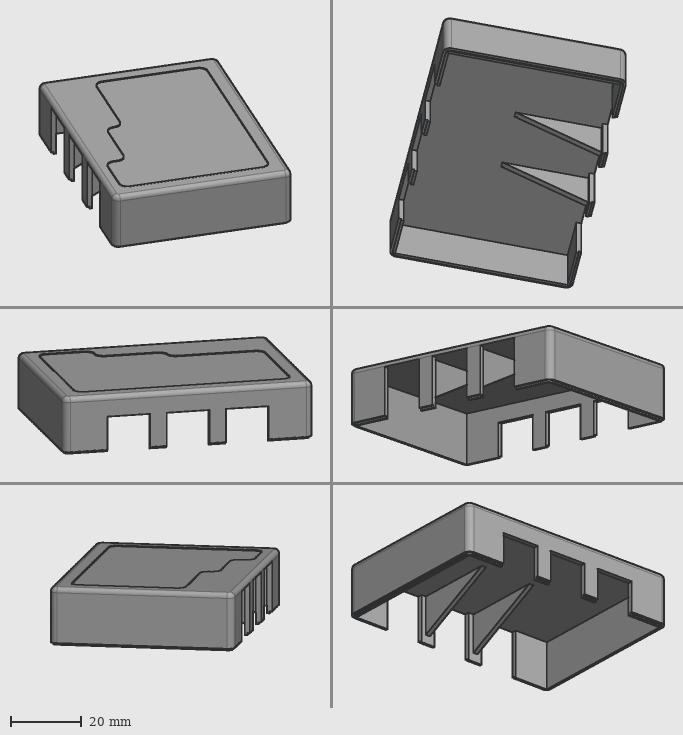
import cadquery as cq
import math

LENGTH = 73.0
WIDTH = 53.0
HEIGHT = 16.7

WALL = 1.5
CORNER_RADIUS = 2.0
TOP_FILLET = 1.5
CEILING_Z = 15.0

LIP_INSET = WALL / 2
LIP_HEIGHT = 0.6
LIP_RADIUS = CORNER_RADIUS - LIP_INSET

WINDOW_WIDTH = 12.5
WINDOW_PITCH = 17.3
WINDOW_COUNT = 3
FRONT_WINDOW_TOP = CEILING_Z
BACK_WINDOW_TOP = 10.3

RIB_THICKNESS = 1.5
RIB_SPACING = 17.5
RIB_FOOT_Z = 2.8
RIB_SLOPE = 0.49

RECESS_DEPTH = 0.3
RECESS_RADIUS = 2.5
RECESS_LEFT = -31.5
RECESS_RIGHT = 31.5
RECESS_BACK = 21.5
RECESS_FRONT = -22.5
UPPER_STEP_X = -4.2
UPPER_STEP_Y = -11.3
LOWER_STEP_X = 15.6
LOWER_STEP_Y = UPPER_STEP_Y - 2 * RECESS_RADIUS

TINY = 1e-6


def rounded_outline(corners, radius):
    """Closed wire through axis-parallel corners, each rounded with the same radius."""
    edges = []
    previous_end = None
    first_start = None
    for index, corner in enumerate(corners):
        here = cq.Vector(*corner)
        to_last = (cq.Vector(*corners[index - 1]) - here).normalized()
        to_next = (cq.Vector(*corners[(index + 1) % len(corners)]) - here).normalized()
        start = here + to_last * radius
        end = here + to_next * radius
        middle = here + (to_last + to_next) * (radius * (1 - math.sqrt(0.5)))
        if previous_end is None:
            first_start = start
        elif (start - previous_end).Length > TINY:
            edges.append(cq.Edge.makeLine(previous_end, start))
        edges.append(cq.Edge.makeThreePointArc(start, middle, end))
        previous_end = end
    edges.append(cq.Edge.makeLine(previous_end, first_start))
    return cq.Wire.assembleEdges(edges)


def outer_body():
    """Rounded block standing on its smaller lip."""
    lip = (
        cq.Workplane("XY")
        .rect(LENGTH - 2 * LIP_INSET, WIDTH - 2 * LIP_INSET)
        .extrude(LIP_HEIGHT)
        .edges("|Z")
        .fillet(LIP_RADIUS)
    )
    block = (
        cq.Workplane("XY")
        .workplane(offset=LIP_HEIGHT)
        .rect(LENGTH, WIDTH)
        .extrude(HEIGHT - LIP_HEIGHT)
        .edges("|Z")
        .fillet(CORNER_RADIUS)
        .faces(">Z")
        .edges()
        .fillet(TOP_FILLET)
    )
    return block.union(lip)


def cavity():
    """Inner space, open at the bottom."""
    return cq.Workplane("XY").rect(LENGTH - 2 * WALL, WIDTH - 2 * WALL).extrude(CEILING_Z)


def window_row(wall_y, top):
    """Row of windows through a long wall, open at the bottom."""
    return (
        cq.Workplane("XY")
        .center(0, wall_y)
        .rarray(WINDOW_PITCH, 1, WINDOW_COUNT, 1)
        .rect(WINDOW_WIDTH, 2 * WALL)
        .extrude(top)
    )


def rib(center_x):
    """Rib rising from the inside of a front post to the ceiling."""
    wall_y = WALL - WIDTH / 2
    run = (CEILING_Z - RIB_FOOT_Z) / RIB_SLOPE
    return (
        cq.Workplane("YZ")
        .workplane(offset=center_x - RIB_THICKNESS / 2)
        .moveTo(wall_y, RIB_FOOT_Z)
        .lineTo(wall_y + run, CEILING_Z)
        .lineTo(wall_y, CEILING_Z)
        .close()
        .extrude(RIB_THICKNESS)
    )


def label_recess():
    """Shallow recess whose front edge steps down towards the right."""
    corners = [
        (RECESS_LEFT, UPPER_STEP_Y),
        (UPPER_STEP_X, UPPER_STEP_Y),
        (UPPER_STEP_X, LOWER_STEP_Y),
        (LOWER_STEP_X, LOWER_STEP_Y),
        (LOWER_STEP_X, RECESS_FRONT),
        (RECESS_RIGHT, RECESS_FRONT),
        (RECESS_RIGHT, RECESS_BACK),
        (RECESS_LEFT, RECESS_BACK),
    ]
    outline = rounded_outline(corners, RECESS_RADIUS)
    recess = cq.Solid.extrudeLinear(outline, [], cq.Vector(0, 0, RECESS_DEPTH))
    return cq.Workplane(recess).translate((0, 0, HEIGHT - RECESS_DEPTH))


result = outer_body().cut(cavity())
result = result.cut(window_row(-WIDTH / 2, FRONT_WINDOW_TOP))
result = result.cut(window_row(WIDTH / 2, BACK_WINDOW_TOP))
for side in (-1, 1):
    result = result.union(rib(side * RIB_SPACING / 2))
result = result.cut(label_recess())